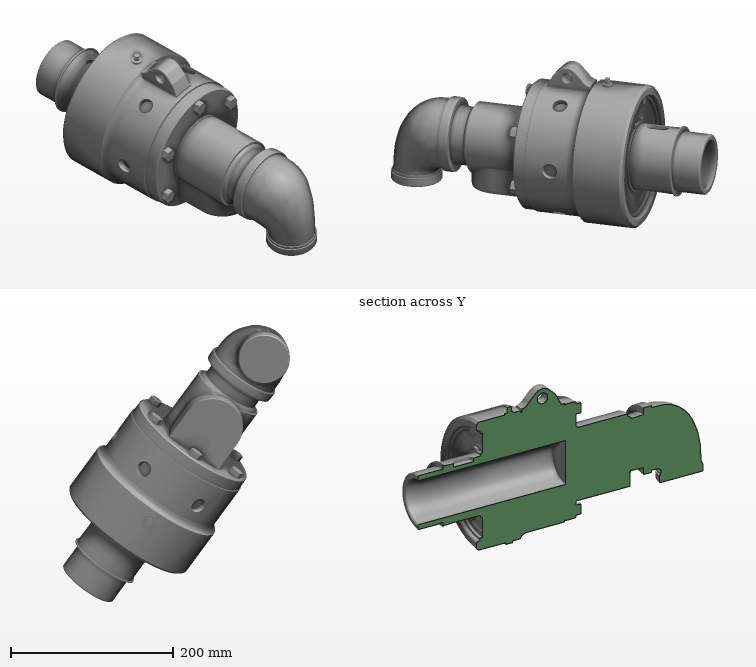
import cadquery as cq
import math


select_margin = 1.0

spigot_radius = 75.18 / 2
spigot_chamfer = 1.2
spigot_length = 33.5
neck_radius = 73.03 / 2
collar_start = 36.0
collar_end = 37.4
collar_radius = 43.7
shaft_radius = 41.2
seat_radius = 41.45
front_seat_end = 45.9
rear_seat_start = 86.0
bore_radius = 60.3 / 2
bore_chamfer = 1.3
key_start = 52.0
key_end = 79.9
key_width = 12.0
key_depth = 5.0

body_start = 84.3
body_radius = 177.8 / 2
body_chamfer = 3.0
shoulder_start = 147.2
shoulder_end = 156.8
barrel_radius = 82.4
cover_start = 212.0
cover_radius = 80.95
cover_end = 227.4
cover_chamfer = 1.5
joint_groove_width = 0.8
joint_groove_depth = 1.0

recess_radius = 76.0
recess_chamfer = 1.5
recess_depth = 8.0
retainer_thickness = 3.0
retainer_inner_radius = 72.0
shield_outer_radius = 64.0
shield_inner_radius = 52.5
shield_depth = 0.5
retainer_lug_angle = 15.0
retainer_lug_radius = 72.7
retainer_lug_size = 7.5
retainer_hole_diameter = 3.2

snap_ring_radius = 44.8
snap_ring_thickness = 2.5
snap_lug_top = 47.0
snap_lug_inner = 9.0
snap_lug_outer = 15.8

barrel_hole_x = 179.4
barrel_hole_diameter = 19.0
barrel_hole_depth = 8.0
barrel_hole_count = 6

screw_circle_radius = 70.0
screw_across_corners = 16.7
screw_head_height = 7.6
screw_count = 6

lug_x = 179.2
lug_eye_z = 97.5
lug_top = 111.08
lug_radius = 14.3
lug_crown_z = lug_top - lug_radius
lug_hole_diameter = 14.3
lug_thickness = 26.4
lug_edge_fillet = 2.0
lug_root_fillet = 3.0
lug_waist_rise = 1.0
lug_toe = (149.4, 90.4)
lug_toe_arc_middle = (156.2, 93.4)
lug_heel = (205.8, 82.8)
lug_root_z = 78.0

fitting_x = 131.2
fitting_base_diameter = 12.6
fitting_base_top = 91.1
fitting_stem_diameter = 5.5
fitting_hex_bottom = 92.4
fitting_hex_across_corners = 7.4
fitting_hex_top = 95.8
fitting_tip_diameter = 6.4
fitting_top = 98.5
plug_diameter = 10.3
plug_bottom = -91.2
plug_root_z = -80.0

outlet_collar_radius = 45.2
outlet_collar_end = 229.8
outlet_radius = 44.2
outlet_end = 301.4
outlet_cone_radius = 41.2
outlet_cone_break_x = 304.5
outlet_cone_break_radius = 39.3
outlet_cone_end = 306.6

boss_radius = 37.3
boss_center_x = 268.0
boss_bottom = -57.6
boss_foot_height = 3.3
boss_foot_taper = 0.4
boss_root_fillet = 3.0

union_start = 323.8
nipple_start = 317.0
nipple_radius = 36.9
union_end = 336.2
union_radius = 46.6
union_start_taper = 2.4
union_end_taper = 1.0
union_edge_drop = 0.4
elbow_start = 343.3
elbow_inlet_radius = 43.7
elbow_outlet_radius = 57.99 / 2
outlet_flange_radius = 63.3 / 2
overall_length = 410.08
elbow_outlet_x = overall_length - outlet_flange_radius
elbow_outlet_z = -49.7
elbow_section_count = 7
elbow_bulge_exponent = 2.25
flange_ring_radius = 60.3 / 2
flange_top = -53.0
flange_bottom = -64.0
flange_chamfer = 1.2


def disc(x_start, x_end, radius):
    return cq.Workplane("YZ").workplane(offset=x_start).circle(radius).extrude(x_end - x_start)


def post(x, z_bottom, z_top, diameter):
    plane = cq.Workplane("XY").workplane(offset=z_bottom).center(x, 0)
    return plane.circle(diameter / 2).extrude(z_top - z_bottom)


def make_turned_body():
    """Shaft, housing, cover, outlet tube and union collar as one turned shape."""
    floor_x = body_start + recess_depth
    ring_x = floor_x - retainer_thickness
    drop = body_radius - barrel_radius
    run = shoulder_end - shoulder_start
    shoulder_fillet = (run**2 + drop**2) / (2 * drop)
    half_sweep = math.atan2(drop, run)
    shoulder_middle = (
        shoulder_end - shoulder_fillet * math.sin(half_sweep),
        barrel_radius + shoulder_fillet * (1 - math.cos(half_sweep)),
    )
    shaft_to_shoulder = [
        (0, spigot_radius - spigot_chamfer),
        (spigot_chamfer, spigot_radius),
        (spigot_length, spigot_radius),
        (spigot_length, neck_radius),
        (collar_start, neck_radius),
        (collar_start, collar_radius),
        (collar_end, collar_radius),
        (collar_end, seat_radius),
        (front_seat_end, seat_radius),
        (front_seat_end, shaft_radius),
        (rear_seat_start, shaft_radius),
        (rear_seat_start, seat_radius),
        (floor_x, seat_radius),
        (floor_x, shield_inner_radius),
        (floor_x + shield_depth, shield_inner_radius),
        (floor_x + shield_depth, shield_outer_radius),
        (floor_x, shield_outer_radius),
        (floor_x, retainer_inner_radius),
        (ring_x, retainer_inner_radius),
        (ring_x, recess_radius),
        (body_start + recess_chamfer, recess_radius),
        (body_start, recess_radius + recess_chamfer),
        (body_start, body_radius - body_chamfer),
        (body_start + body_chamfer, body_radius),
        (shoulder_start, body_radius),
    ]
    barrel_to_elbow = [
        (cover_start - joint_groove_width, barrel_radius),
        (cover_start - joint_groove_width, cover_radius - joint_groove_depth),
        (cover_start, cover_radius - joint_groove_depth),
        (cover_start, cover_radius),
        (cover_end - cover_chamfer, cover_radius),
        (cover_end, cover_radius - cover_chamfer),
        (cover_end, outlet_collar_radius),
        (outlet_collar_end, outlet_collar_radius),
        (outlet_collar_end, outlet_radius),
        (outlet_end, outlet_radius),
        (outlet_end, outlet_cone_radius),
        (outlet_cone_break_x, outlet_cone_break_radius),
        (outlet_cone_end, neck_radius),
        (nipple_start, neck_radius),
        (nipple_start, nipple_radius),
        (union_start, nipple_radius),
        (union_start, union_radius - union_edge_drop),
        (union_start + union_start_taper, union_radius),
        (union_end - union_end_taper, union_radius),
        (union_end, union_radius - union_edge_drop),
        (union_end, elbow_inlet_radius),
        (elbow_start, elbow_inlet_radius),
        (elbow_start, 0),
    ]
    profile = cq.Workplane("XZ").moveTo(0, 0)
    for point in shaft_to_shoulder:
        profile = profile.lineTo(*point)
    profile = profile.threePointArc(shoulder_middle, (shoulder_end, barrel_radius))
    for point in barrel_to_elbow:
        profile = profile.lineTo(*point)
    return profile.close().revolve(360, (0, 0, 0), (1, 0, 0))


def make_bore():
    bore = disc(0, cover_start, bore_radius)
    mouth = cq.Solid.makeCone(
        bore_radius + bore_chamfer, bore_radius, bore_chamfer, cq.Vector(0, 0, 0), cq.Vector(1, 0, 0)
    )
    return bore.union(cq.Workplane(mouth))


def make_keyway():
    plane = cq.Workplane("XY").workplane(offset=shaft_radius - key_depth)
    slot = plane.center((key_start + key_end) / 2, 0).slot2D(key_end - key_start, key_width)
    return slot.extrude(2 * key_depth)


def make_barrel_holes():
    floor_radius = barrel_radius - barrel_hole_depth
    hole = post(barrel_hole_x, floor_radius, body_radius, barrel_hole_diameter)
    holes = cq.Workplane("XY")
    for i in range(barrel_hole_count):
        angle = (i + 0.5) * 360 / barrel_hole_count
        holes = holes.add(hole.rotate((0, 0, 0), (1, 0, 0), angle))
    return holes.combine()


def make_screw_heads():
    plane = cq.Workplane("YZ").workplane(offset=cover_end)
    places = plane.polarArray(screw_circle_radius, 90, 360, screw_count, rotate=False)
    return places.polygon(6, screw_across_corners).extrude(screw_head_height)


def make_retainer_lugs():
    """Two eared ends of the housing retaining ring, each with a plier hole."""
    floor_x = body_start + recess_depth
    ring_x = floor_x - retainer_thickness
    plane = cq.Workplane("YZ").workplane(offset=ring_x)
    angle = math.radians(retainer_lug_angle)
    y = retainer_lug_radius * math.sin(angle)
    z = retainer_lug_radius * math.cos(angle)
    ears = plane.pushPoints([(-y, z), (y, z)]).circle(retainer_lug_size).extrude(retainer_thickness)
    ears = ears.intersect(disc(ring_x, floor_x, recess_radius))
    holes = plane.pushPoints([(-y, z), (y, z)]).circle(retainer_hole_diameter / 2)
    return ears.cut(holes.extrude(retainer_thickness))


def make_snap_ring():
    floor_x = body_start + recess_depth
    start_x = floor_x - snap_ring_thickness
    ring = disc(start_x, floor_x, snap_ring_radius)
    lug_width = snap_lug_outer - snap_lug_inner
    lug_y = (snap_lug_outer + snap_lug_inner) / 2
    lug_height = snap_lug_top - shaft_radius
    lug_z = (snap_lug_top + shaft_radius) / 2
    plane = cq.Workplane("YZ").workplane(offset=start_x)
    lugs = plane.pushPoints([(-lug_y, lug_z), (lug_y, lug_z)]).rect(lug_width, lug_height)
    return ring.union(lugs.extrude(snap_ring_thickness))


def make_lifting_lug():
    """Eyed lug: a round crown with 45 degree flanks, a hollow toward the toe, a straight heel."""
    reach = lug_radius * math.sqrt(0.5)
    waist_z = lug_crown_z + lug_waist_rise
    waist_offset = 2 * reach - lug_waist_rise
    outline = (
        cq.Workplane("XZ")
        .workplane(offset=-lug_thickness / 2)
        .moveTo(lug_toe[0], lug_root_z)
        .lineTo(*lug_toe)
        .threePointArc(lug_toe_arc_middle, (lug_x - waist_offset, waist_z))
        .lineTo(lug_x - reach, lug_crown_z + reach)
        .threePointArc((lug_x, lug_top), (lug_x + reach, lug_crown_z + reach))
        .lineTo(lug_x + waist_offset, waist_z)
        .lineTo(*lug_heel)
        .lineTo(lug_heel[0], lug_root_z)
        .close()
    )
    lug = outline.extrude(lug_thickness)
    rim = cq.selectors.BoxSelector(
        (lug_toe[0] + select_margin, -lug_thickness, lug_heel[1] + select_margin),
        (lug_heel[0], lug_thickness, lug_top + select_margin),
    )
    lug = lug.faces("|Y").edges(rim).fillet(lug_edge_fillet)
    eye = cq.Workplane("XZ").center(lug_x, lug_eye_z).circle(lug_hole_diameter / 2)
    return lug.cut(eye.extrude(lug_thickness, both=True))


def make_grease_fitting():
    base = post(fitting_x, barrel_radius, fitting_base_top, fitting_base_diameter)
    stem = post(fitting_x, fitting_base_top, fitting_top, fitting_stem_diameter)
    hex_plane = cq.Workplane("XY").workplane(offset=fitting_hex_bottom).center(fitting_x, 0)
    hexagon = hex_plane.polygon(6, fitting_hex_across_corners).extrude(fitting_hex_top - fitting_hex_bottom)
    tip = post(fitting_x, (fitting_hex_top + fitting_top) / 2, fitting_top, fitting_tip_diameter)
    return base.union(stem).union(hexagon).union(tip)


def make_boss():
    height = -boss_bottom
    plane = cq.Workplane("XY").workplane(offset=boss_bottom)
    pad_length = boss_center_x - cover_end
    pad = plane.center(cover_end + pad_length / 2, 0).rect(pad_length, 2 * boss_radius).extrude(height)
    boss = pad.union(post(boss_center_x, boss_bottom, 0, 2 * boss_radius))
    return boss.faces("<Z").edges().chamfer(boss_foot_height, boss_foot_taper)


def round_boss_root(part):
    """Fillet the line where the boss sides meet the outlet tube."""
    root_z = -math.sqrt(outlet_radius**2 - boss_radius**2)
    root = cq.selectors.BoxSelector(
        (outlet_collar_end, -boss_radius - select_margin, root_z - select_margin),
        (boss_center_x, boss_radius + select_margin, root_z + select_margin),
    )
    return part.edges("|X").edges(root).fillet(boss_root_fillet)


def make_lug_root():
    """Base flare of the lug: on each side a concave arc tangent to the lug side and the barrel."""
    side_y = lug_thickness / 2
    center_y = side_y + lug_root_fillet
    center_radius = barrel_radius + lug_root_fillet
    center_z = math.sqrt(center_radius**2 - center_y**2)
    foot_y = center_y * barrel_radius / center_radius
    foot_z = center_z * barrel_radius / center_radius
    axis_angle = math.pi + math.atan2(center_z, center_y)
    middle_angle = (math.pi + axis_angle) / 2
    middle_y = center_y + lug_root_fillet * math.cos(middle_angle)
    middle_z = center_z + lug_root_fillet * math.sin(middle_angle)
    flare = (
        cq.Workplane("YZ")
        .workplane(offset=lug_toe[0])
        .moveTo(-side_y, center_z)
        .lineTo(side_y, center_z)
        .threePointArc((middle_y, middle_z), (foot_y, foot_z))
        .lineTo(foot_y, lug_root_z)
        .lineTo(-foot_y, lug_root_z)
        .lineTo(-foot_y, foot_z)
        .threePointArc((-middle_y, middle_z), (-side_y, center_z))
        .close()
        .extrude(lug_heel[0] - lug_toe[0])
    )
    return flare


def make_elbow():
    """Quarter bend whose round section shrinks from inlet to outlet.

    The outer line of the bend is a slightly squared quarter ellipse and the inner
    line a plain one, both about one pivot.
    """
    pivot_x = elbow_start
    pivot_z = elbow_outlet_z
    outer_x = elbow_outlet_x + elbow_outlet_radius - pivot_x
    outer_z = elbow_inlet_radius - pivot_z
    inner_x = elbow_outlet_x - elbow_outlet_radius - pivot_x
    inner_z = -elbow_inlet_radius - pivot_z
    sections = []
    for i in range(elbow_section_count):
        angle = math.radians(90) * i / (elbow_section_count - 1)
        power = 2 / elbow_bulge_exponent
        reach_share = math.sin(angle) ** power
        rise_share = max(math.cos(angle), 0) ** power
        outer = cq.Vector(outer_x * reach_share, 0, outer_z * rise_share)
        inner = cq.Vector(inner_x * math.sin(angle), 0, inner_z * math.cos(angle))
        across = outer - inner
        center = (outer + inner) * 0.5 + cq.Vector(pivot_x, 0, pivot_z)
        normal = across.cross(cq.Vector(0, -1, 0))
        plane = cq.Plane(origin=center, xDir=(0, 1, 0), normal=normal)
        circle = cq.Workplane(plane).circle(across.Length / 2)
        sections.append(circle.wires().val())
    return cq.Workplane(cq.Solid.makeLoft(sections))


def make_outlet_flange():
    ring = post(elbow_outlet_x, flange_top, elbow_outlet_z, 2 * flange_ring_radius)
    flange = post(elbow_outlet_x, flange_bottom, flange_top, 2 * outlet_flange_radius)
    return ring.union(flange.faces("<Z").edges().chamfer(flange_chamfer))


result = make_turned_body()
result = result.union(make_boss())
result = round_boss_root(result)
result = result.union(make_lifting_lug())
result = result.union(make_lug_root())
result = result.union(make_elbow())
result = result.union(make_outlet_flange())
result = result.union(make_retainer_lugs())
result = result.union(make_snap_ring())
result = result.union(make_screw_heads())
result = result.union(make_grease_fitting())
result = result.union(post(fitting_x, plug_bottom, plug_root_z, plug_diameter))
result = result.cut(make_barrel_holes())
result = result.cut(make_keyway())
result = result.cut(make_bore())